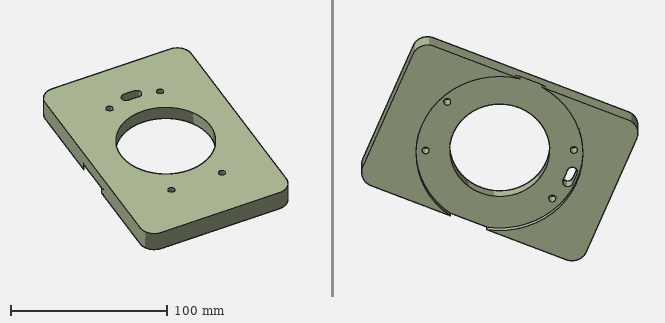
import cadquery as cq
import math

plate_length = 155.0
plate_width = 105.0
plate_height = 14.0
corner_radius = 10.0

bore_diameter = 64.0
screw_hole_diameter = 4.5
screw_spacing_x = 87.7
screw_spacing_y = 36.5

slot_path_radius = 48.8
slot_width = 6.5
slot_length = 14.0

recess_radius = 53.5
recess_offset = 0.5
recess_depth = 4.3


def plate():
    body = cq.Workplane("XY").box(
        plate_length, plate_width, plate_height, centered=(True, True, False)
    )
    return body.edges("|Z").fillet(corner_radius)


def bore():
    return cq.Workplane("XY").circle(bore_diameter / 2).extrude(plate_height)


def screw_holes():
    pattern = cq.Workplane("XY").rarray(screw_spacing_x, screw_spacing_y, 2, 2)
    return pattern.circle(screw_hole_diameter / 2).extrude(plate_height)


def curved_slot():
    end_radius = slot_width / 2
    half_angle = math.asin((slot_length / 2 - end_radius) / slot_path_radius)

    def point(radius, angle):
        return (-radius * math.cos(angle), radius * math.sin(angle))

    inner = slot_path_radius - end_radius
    outer = slot_path_radius + end_radius
    end_angle = half_angle + end_radius / slot_path_radius
    outline = (
        cq.Workplane("XY")
        .moveTo(*point(inner, -half_angle))
        .threePointArc(point(inner, 0), point(inner, half_angle))
        .threePointArc(point(slot_path_radius, end_angle), point(outer, half_angle))
        .threePointArc(point(outer, 0), point(outer, -half_angle))
        .threePointArc(point(slot_path_radius, -end_angle), point(inner, -half_angle))
        .close()
    )
    return outline.extrude(plate_height)


def underside_recess():
    return cq.Workplane("XY").center(0, -recess_offset).circle(recess_radius).extrude(recess_depth)


result = (
    plate()
    .cut(bore())
    .cut(screw_holes())
    .cut(curved_slot())
    .cut(underside_recess())
)